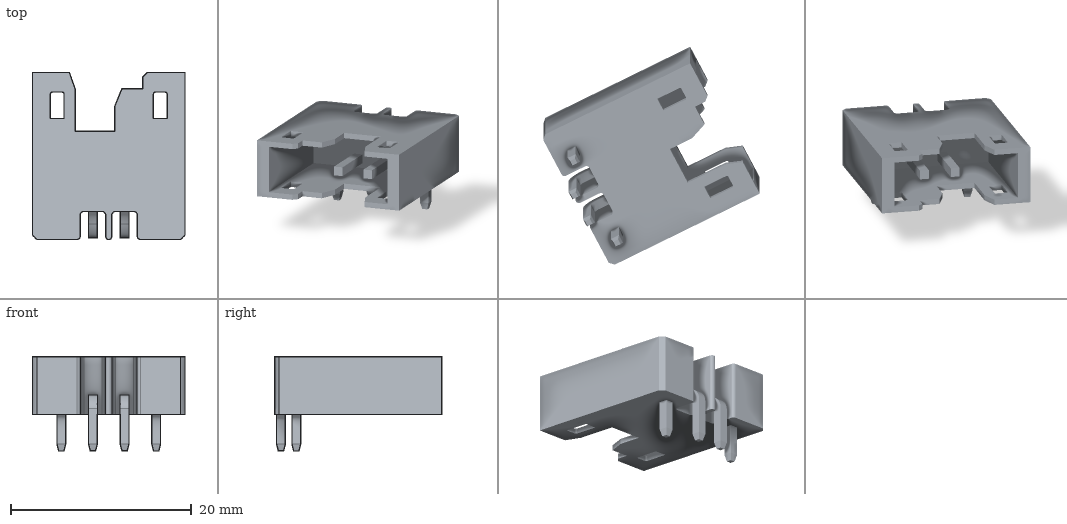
import cadquery as cq

body_width = 16.9
body_length = 18.5
body_height = 6.4
corner_chamfer = 0.5

plate_thickness = 0.6
side_wall = 1.4
rear_wall = 5.0

pin_pitch = 3.5
pin_size = 1.0
taper_start_z = -3.25
tip_size = 0.6

contact_rear_y = 0.2
contact_top_z = 2.15
contact_tip_z = -4.0
contact_front_y = 11.0
bend_radius = 1.5
contact_xs = [-pin_pitch / 2, pin_pitch / 2]

peg_rear_y = 1.9
peg_tip_z = -4.05
peg_embed = 0.6
peg_xs = [-1.5 * pin_pitch, 1.5 * pin_pitch]

slot_width = 2.8
slot_depth = 3.1
slot_inner_radius = 0.4
rib_width = pin_pitch - slot_width
slot_mouth_radius = rib_width / 2

notch_left_x = -3.7
notch_right_x = 0.65
notch_floor_y = 12.0
left_lead_in_x = -4.35
left_lead_in_y = 16.65
right_lead_in_x = 1.45
right_lead_in_y = 14.75
step_x = 3.75
step_y = 16.7

window_x = 5.7
window_width = 1.5
window_rear_y = 13.4
window_front_y = 16.3
window_radius = 0.2


def add_slot(outline, x):
    """Continue an outline from the left mouth of the slot at x, around its floor, to its right mouth."""
    left = x - slot_width / 2
    right = x + slot_width / 2
    return (
        outline.lineTo(left, slot_depth - slot_inner_radius)
        .radiusArc((left + slot_inner_radius, slot_depth), slot_inner_radius)
        .lineTo(right - slot_inner_radius, slot_depth)
        .radiusArc((right, slot_depth - slot_inner_radius), slot_inner_radius)
        .lineTo(right, slot_mouth_radius)
    )


def make_block():
    """Housing block with chamfered rear corners and two slots parted by a round-ended rib."""
    left_slot_x, right_slot_x = contact_xs
    side_x = body_width / 2
    slots_edge_x = right_slot_x + slot_width / 2
    outline = (
        cq.Workplane("XY")
        .moveTo(-side_x, body_length)
        .lineTo(-side_x, corner_chamfer)
        .lineTo(-side_x + corner_chamfer, 0)
        .lineTo(-slots_edge_x - slot_mouth_radius, 0)
        .radiusArc((-slots_edge_x, slot_mouth_radius), -slot_mouth_radius)
    )
    outline = add_slot(outline, left_slot_x)
    outline = outline.threePointArc((0, 0), (rib_width / 2, slot_mouth_radius))
    outline = add_slot(outline, right_slot_x)
    return (
        outline.radiusArc((slots_edge_x + slot_mouth_radius, 0), -slot_mouth_radius)
        .lineTo(side_x - corner_chamfer, 0)
        .lineTo(side_x, corner_chamfer)
        .lineTo(side_x, body_length)
        .close()
        .extrude(body_height)
    )


def make_cavity():
    """Box-shaped cavity that opens at the mouth."""
    return (
        cq.Workplane("XY", origin=(0, rear_wall, plate_thickness))
        .box(
            body_width - 2 * side_wall,
            body_length - rear_wall,
            body_height - 2 * plate_thickness,
            centered=(True, False, False),
        )
    )


def make_notch():
    """Keying notch with slanted lead-ins and a step on its +X side."""
    return (
        cq.Workplane("XY")
        .moveTo(left_lead_in_x, body_length)
        .lineTo(notch_left_x, left_lead_in_y)
        .lineTo(notch_left_x, notch_floor_y)
        .lineTo(notch_right_x, notch_floor_y)
        .lineTo(notch_right_x, right_lead_in_y)
        .lineTo(right_lead_in_x, step_y)
        .lineTo(step_x, step_y)
        .lineTo(step_x, body_length - corner_chamfer)
        .lineTo(step_x + corner_chamfer, body_length)
        .close()
        .extrude(body_height)
    )


def make_window(x):
    """Latch window, rounded at its two mouth-side corners."""
    return (
        cq.Workplane("XY")
        .center(x, window_rear_y)
        .box(window_width, window_front_y - window_rear_y, body_height, centered=(True, False, False))
        .edges("|Z and >Y")
        .fillet(window_radius)
    )


def make_post(x, rear_y, top_z, tip_z):
    """Square vertical post with a tapered lower tip."""
    center_y = rear_y + pin_size / 2
    shank = (
        cq.Workplane("XY", origin=(x, center_y, taper_start_z))
        .rect(pin_size, pin_size)
        .extrude(top_z - taper_start_z)
    )
    tip = (
        cq.Workplane("XY", origin=(x, center_y, taper_start_z))
        .rect(pin_size, pin_size)
        .workplane(offset=tip_z - taper_start_z)
        .rect(tip_size, tip_size)
        .loft()
    )
    return shank.union(tip)


def make_contact(x):
    """Contact that rises behind the housing and bends forward into the cavity."""
    bend_z = contact_top_z - bend_radius
    bend_y = contact_rear_y + bend_radius
    inner_radius = bend_radius - pin_size
    blade = (
        cq.Workplane("YZ", origin=(x - pin_size / 2, 0, 0))
        .moveTo(contact_rear_y, bend_z)
        .radiusArc((bend_y, contact_top_z), bend_radius)
        .lineTo(contact_front_y, contact_top_z)
        .lineTo(contact_front_y, contact_top_z - pin_size)
        .lineTo(bend_y, contact_top_z - pin_size)
        .radiusArc((contact_rear_y + pin_size, bend_z), -inner_radius)
        .close()
        .extrude(pin_size)
    )
    return blade.union(make_post(x, contact_rear_y, bend_z, contact_tip_z))


result = make_block().cut(make_cavity()).cut(make_notch())
for window_center_x in (-window_x, window_x):
    result = result.cut(make_window(window_center_x))
for contact_x in contact_xs:
    result = result.union(make_contact(contact_x))
for peg_x in peg_xs:
    result = result.union(make_post(peg_x, peg_rear_y, peg_embed, peg_tip_z))